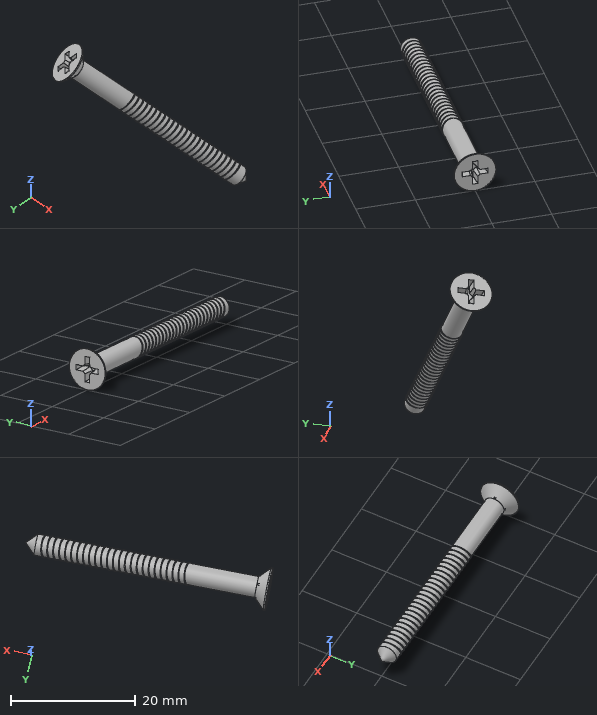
import cadquery as cq
import math

length = 40.0
head_diameter = 7.0
shank_diameter = 3.5
rim_thickness = 0.25

ridge_count = 25
first_ridge_x = 13.25
last_ridge_x = 36.75
ridge_tilt = 17.5
ridge_radius = 0.1

recess_span = 4.3
recess_slot_width = 0.9
recess_depth = 1.8
recess_taper = 10.0
recess_core_across = 1.75

head_radius = head_diameter / 2
shank_radius = shank_diameter / 2
head_height = rim_thickness + head_radius - shank_radius
tip_start_x = length - shank_radius


def screw_blank():
    """Countersunk head, plain shank and conical point, revolved about X."""
    return (
        cq.Workplane("XY")
        .moveTo(0, 0)
        .lineTo(0, head_radius)
        .lineTo(rim_thickness, head_radius)
        .lineTo(head_height, shank_radius)
        .lineTo(tip_start_x, shank_radius)
        .lineTo(length, 0)
        .close()
        .revolve(360, (0, 0, 0), (1, 0, 0))
    )


def ridge(center_x):
    """Thin torus around the shank, its top leaning towards the point."""
    tilt = math.radians(ridge_tilt)
    normal = cq.Vector(math.cos(tilt), 0, -math.sin(tilt))
    torus = cq.Solid.makeTorus(shank_radius, ridge_radius, cq.Vector(center_x, 0, 0), normal)
    return cq.Workplane(torus)


def cross_recess():
    """Two crossed slots and a square core turned 45 degrees, all narrowing with depth."""
    face = cq.Workplane("YZ")
    flat_slot = face.rect(recess_span, recess_slot_width).extrude(recess_depth, taper=recess_taper)
    upright_slot = face.rect(recess_slot_width, recess_span).extrude(recess_depth, taper=recess_taper)
    core = (
        face.transformed(rotate=(0, 0, 45))
        .rect(recess_core_across, recess_core_across)
        .extrude(recess_depth, taper=recess_taper)
    )
    return flat_slot.union(upright_slot).union(core)


result = screw_blank().cut(cross_recess())
ridge_pitch = (last_ridge_x - first_ridge_x) / (ridge_count - 1)
for index in range(ridge_count):
    result = result.union(ridge(first_ridge_x + index * ridge_pitch))